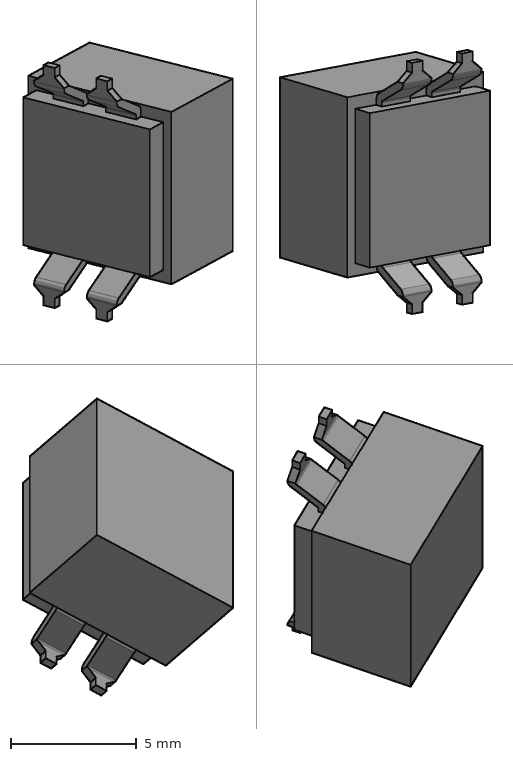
import cadquery as cq
import math

HOUSING_WIDTH = 6.9
HOUSING_DEPTH = 4.33
HOUSING_HEIGHT = 7.38

PLATE_WIDTH = 6.11
PLATE_DEPTH = 0.94
PLATE_HEIGHT = 6.32

OVERALL_HEIGHT = 10.28
OVERALL_DEPTH = 6.05
LEAD_PITCH = 2.54
LEAD_WIDTH = 1.45
LEAD_THICKNESS = 0.35
LEAD_GAP = 0.02
LEAD_SLOPE = 30.0
INSIDE_BEND_RADIUS = 0.08
OUTSIDE_BEND_RADIUS = 0.31
FOOT_LENGTH = 0.77
TIP_WIDTH = 0.54
TIP_LENGTH = 0.4

half_plate = PLATE_HEIGHT / 2
foot_end = OVERALL_HEIGHT / 2
foot_start = foot_end - FOOT_LENGTH
foot_front = HOUSING_DEPTH - OVERALL_DEPTH
foot_back = foot_front + LEAD_THICKNESS
stem_back = -LEAD_GAP
stem_front = stem_back - LEAD_THICKNESS


def make_housing():
    return cq.Workplane("XY").box(
        HOUSING_WIDTH, HOUSING_DEPTH, HOUSING_HEIGHT, centered=(True, False, True)
    )


def make_plate():
    return (
        cq.Workplane("XY")
        .box(PLATE_WIDTH, PLATE_DEPTH, PLATE_HEIGHT, centered=(True, False, True))
        .translate((0, -PLATE_DEPTH, 0))
    )


def make_strip():
    """Bent strip of constant width: stem, sloping run and foot of an upper lead."""
    run = stem_front - foot_back
    slope = math.radians(LEAD_SLOPE)
    rise = (LEAD_THICKNESS + run * math.sin(slope)) / math.cos(slope)
    miter = LEAD_THICKNESS * math.tan(slope)

    stem_inside = (stem_front, foot_start - rise)
    stem_outside = (stem_back, stem_inside[1] + miter)
    foot_inside = (foot_back, foot_start)
    foot_outside = (foot_front, foot_start - miter)
    strip = cq.Workplane("YZ").polyline([
        (stem_back, half_plate),
        stem_outside,
        foot_inside,
        (foot_back, foot_end),
        (foot_front, foot_end),
        foot_outside,
        stem_inside,
        (stem_front, half_plate),
    ]).close().extrude(LEAD_WIDTH / 2, both=True)

    bends = [
        (stem_inside, INSIDE_BEND_RADIUS),
        (foot_inside, INSIDE_BEND_RADIUS),
        (stem_outside, OUTSIDE_BEND_RADIUS),
        (foot_outside, OUTSIDE_BEND_RADIUS),
    ]
    for (y, z), radius in bends:
        corner = cq.selectors.NearestToPointSelector((0, y, z))
        strip = strip.edges("|X").edges(corner).fillet(radius)
    return strip


def lead_outline():
    """Front outline (X, Z) of an upper lead, necked down to a narrow tip."""
    half_lead = LEAD_WIDTH / 2
    half_tip = TIP_WIDTH / 2
    tip_start = foot_end - TIP_LENGTH
    return cq.Workplane("XZ").polyline([
        (-half_lead, half_plate),
        (half_lead, half_plate),
        (half_lead, foot_start),
        (half_tip, tip_start),
        (half_tip, foot_end),
        (-half_tip, foot_end),
        (-half_tip, tip_start),
        (-half_lead, foot_start),
    ]).close()


def make_lead():
    return make_strip().intersect(lead_outline().extrude(OVERALL_DEPTH))


def make_base():
    """Plate with its four leads, the lower pair mirroring the upper pair."""
    base = make_plate()
    upper_lead = make_lead()
    for side in (-1, 1):
        lead = upper_lead.translate((side * LEAD_PITCH / 2, 0, 0))
        base = base.union(lead).union(lead.mirror("XY"))
    return base


housing = make_housing()
base = make_base()
result = cq.Compound.makeCompound([housing.val(), *base.solids().vals()])